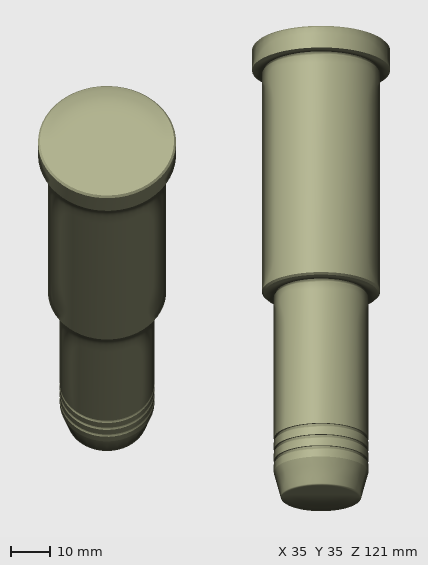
import cadquery as cq
import math

head_diameter = 35.0
body_diameter = 30.0
shaft_diameter = 24.0

total_length = 121.0
head_thickness = 6.0
shaft_length = 55.0

taper_length = 7.0
taper_angle = 15.0
tip_fillet = 0.5

edge_chamfer = 0.5

groove_depth = 0.5
groove_width = 1.0
relief_floor_width = 0.3
oil_groove_floor_width = 0.5

oil_groove_count = 3
oil_groove_pitch = 3.0
lowest_oil_groove_top_z = 10.0

head_radius = head_diameter / 2
body_radius = body_diameter / 2
shaft_radius = shaft_diameter / 2
head_bottom_z = total_length - head_thickness


def turned(outline):
    """Solid of revolution about Z from (radius, z) points, with its seam on the -X side."""
    points = [(-radius, z) for radius, z in outline]
    return cq.Workplane("XZ").polyline(points).close().revolve(360, (0, 0, 0), (0, 1, 0))


def stepped_pin():
    """Head, body, shaft and tapered tip without the grooves."""
    taper_run = taper_length * math.tan(math.radians(taper_angle))
    tip_radius = shaft_radius - taper_run
    outline = [
        (0, 0),
        (tip_radius, 0),
        (shaft_radius, taper_length),
        (shaft_radius, shaft_length),
        (body_radius - edge_chamfer, shaft_length),
        (body_radius, shaft_length + edge_chamfer),
        (body_radius, head_bottom_z),
        (head_radius, head_bottom_z),
        (head_radius, total_length - edge_chamfer),
        (head_radius - edge_chamfer, total_length),
        (0, total_length),
    ]
    return turned(outline).faces("<Z").edges().fillet(tip_fillet)


def groove(radius, top_z, floor_width):
    """Ring to cut into a cylinder of the given radius, reaching down from top_z."""
    floor_radius = radius - groove_depth
    outline = [
        (radius, top_z),
        (floor_radius, top_z),
        (floor_radius, top_z - floor_width),
        (radius, top_z - groove_width),
    ]
    return turned(outline)


result = stepped_pin()

result = result.cut(groove(body_radius, head_bottom_z, relief_floor_width))
result = result.cut(groove(shaft_radius, shaft_length, relief_floor_width))

for index in range(oil_groove_count):
    top_z = lowest_oil_groove_top_z + index * oil_groove_pitch
    result = result.cut(groove(shaft_radius, top_z, oil_groove_floor_width))